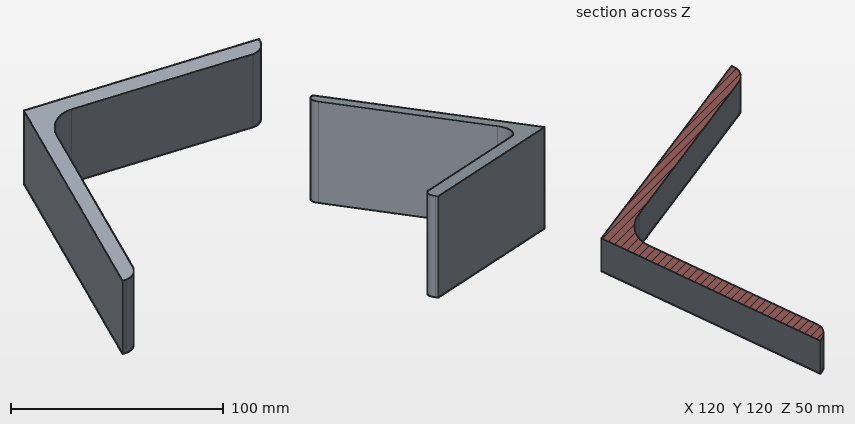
import cadquery as cq

leg_length = 120.0
leg_thickness = 8.0
root_radius = 13.0
toe_radius = 6.5
bar_length = 50.0


def angle_profile():
    """Sharp-cornered L outline with the heel at the origin."""
    return (
        cq.Workplane("XY")
        .moveTo(0, 0)
        .lineTo(leg_length, 0)
        .lineTo(leg_length, leg_thickness)
        .lineTo(leg_thickness, leg_thickness)
        .lineTo(leg_thickness, leg_length)
        .lineTo(0, leg_length)
        .close()
    )


def round_edge(body, x, y, radius):
    """Fillet the vertical edge nearest to the point (x, y)."""
    edge = cq.selectors.NearestToPointSelector((x, y, bar_length / 2))
    return body.edges("|Z").edges(edge).fillet(radius)


result = angle_profile().extrude(bar_length)

result = round_edge(result, leg_thickness, leg_thickness, root_radius)
result = round_edge(result, leg_length, leg_thickness, toe_radius)
result = round_edge(result, leg_thickness, leg_length, toe_radius)